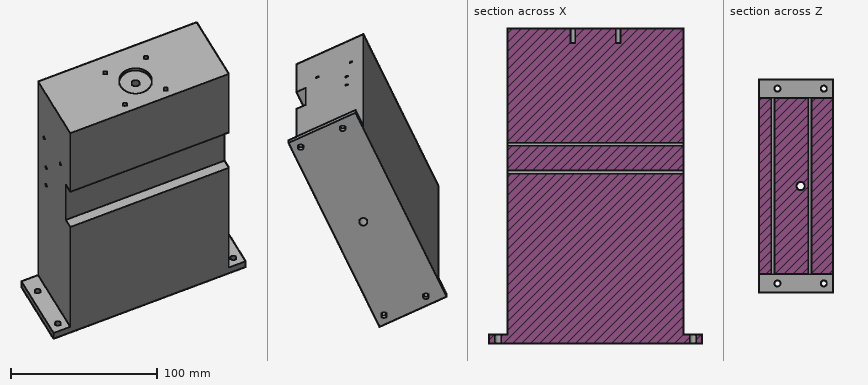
import cadquery as cq

INCH = 25.4
WIDTH = 2 * INCH
HEIGHT = 8.5 * INCH
BASE_LENGTH = 5.75 * INCH
BASE_THICKNESS = 0.25 * INCH
FLANGE_LENGTH = 0.5 * INCH
BODY_LENGTH = BASE_LENGTH - 2 * FLANGE_LENGTH
LEFT_X = -WIDTH / 2
RIGHT_X = WIDTH / 2

BASE_HOLE_DIAMETER = 4.0
BASE_HOLE_XS = (LEFT_X + 0.5 * INCH, RIGHT_X - 0.25 * INCH)
BASE_HOLE_Y = BASE_LENGTH / 2 - FLANGE_LENGTH / 2

MOTOR_X = LEFT_X + 1.125 * INCH
PILOT_DIAMETER = 22.5
PILOT_DEPTH = 0.1 * INCH
SHAFT_BORE_DIAMETER = 5.5
SCREW_SPACING = 31.0
SCREW_DIAMETER = 3.0
SCREW_DEPTH = 10.0

NOTCH_DEPTH = 0.275 * INCH
NOTCH_BOTTOM_Z = 4.5 * INCH
NOTCH_HEIGHT = 1.5 * INCH

CROSS_HOLE_DIAMETER = 2.0
UPPER_HOLE_Z = HEIGHT - 2 * INCH
UPPER_HOLE_X = LEFT_X + 0.375 * INCH
UPPER_HOLE_SPACING = 1 * INCH
LOWER_HOLE_X = LEFT_X + 0.5 * INCH
LOWER_HOLE_Z = NOTCH_BOTTOM_Z + 0.125 * INCH
LOWER_HOLE_SPACING = 0.75 * INCH
CROSS_HOLE_CENTRES = [
    (UPPER_HOLE_X, UPPER_HOLE_Z),
    (UPPER_HOLE_X + UPPER_HOLE_SPACING, UPPER_HOLE_Z),
    (LOWER_HOLE_X, LOWER_HOLE_Z),
    (LOWER_HOLE_X, LOWER_HOLE_Z + LOWER_HOLE_SPACING),
]


def make_block():
    """Tall body standing on a base that projects as a flange at each end."""
    body = cq.Workplane("XY").box(WIDTH, BODY_LENGTH, HEIGHT, centered=(True, True, False))
    base = cq.Workplane("XY").box(WIDTH, BASE_LENGTH, BASE_THICKNESS, centered=(True, True, False))
    return body.union(base)


def cut_base_holes(part):
    """Vertical through holes in both flanges."""
    centres = [(x, y) for x in BASE_HOLE_XS for y in (-BASE_HOLE_Y, BASE_HOLE_Y)]
    holes = cq.Workplane("XY").pushPoints(centres).circle(BASE_HOLE_DIAMETER / 2).extrude(BASE_THICKNESS)
    return part.cut(holes)


def cut_motor_mount(part):
    """Pilot recess, full-height shaft bore and a square of blind screw holes."""
    top = cq.Workplane("XY", origin=(MOTOR_X, 0, HEIGHT))
    pilot = top.circle(PILOT_DIAMETER / 2).extrude(-PILOT_DEPTH)
    bore = top.circle(SHAFT_BORE_DIAMETER / 2).extrude(-HEIGHT)
    screws = (
        top.rect(SCREW_SPACING, SCREW_SPACING, forConstruction=True)
        .vertices()
        .circle(SCREW_DIAMETER / 2)
        .extrude(-SCREW_DEPTH)
    )
    return part.cut(pilot).cut(bore).cut(screws)


def cut_side_notch(part):
    """Rectangular notch through the whole length of the right side."""
    notch = (
        cq.Workplane("XY", origin=(RIGHT_X - NOTCH_DEPTH, 0, NOTCH_BOTTOM_Z))
        .box(NOTCH_DEPTH, BODY_LENGTH, NOTCH_HEIGHT, centered=(False, True, False))
    )
    return part.cut(notch)


def cut_cross_holes(part):
    """Small holes along Y, through the body from end to end."""
    holes = (
        cq.Workplane("XZ")
        .pushPoints(CROSS_HOLE_CENTRES)
        .circle(CROSS_HOLE_DIAMETER / 2)
        .extrude(BODY_LENGTH / 2, both=True)
    )
    return part.cut(holes)


result = make_block()
result = cut_base_holes(result)
result = cut_motor_mount(result)
result = cut_side_notch(result)
result = cut_cross_holes(result)